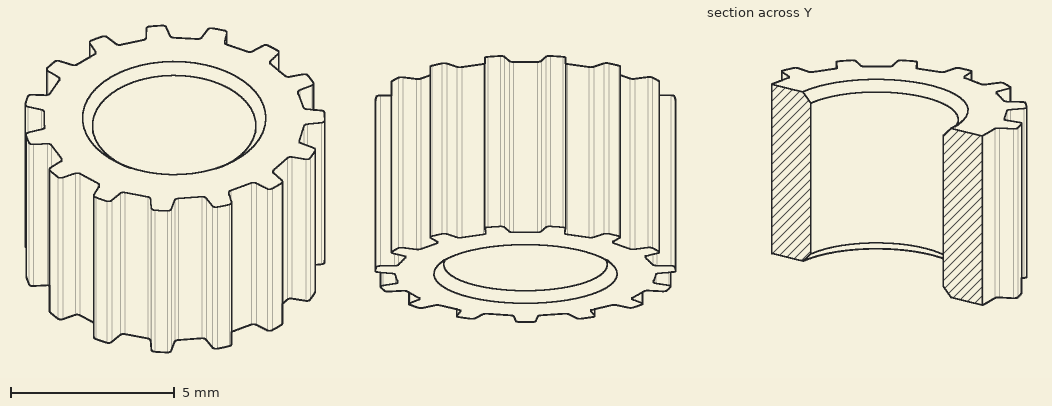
import cadquery as cq
import math

tooth_count = 15
tip_radius = 4.6
height = 5.5

root_distance = 3.97
floor_width = 0.91
flank_angle = 20
root_fillet = 0.13
tip_fillet = 0.12
cut_overrun = 0.46

bore_radius = 2.5
bore_chamfer = 0.3
radius_tolerance = 0.001

pitch_angle = 360 / tooth_count
first_groove_angle = 90


def groove_cutter():
    """Trapezoidal groove along +X, rounded at the floor, open beyond the tooth tips."""
    open_distance = tip_radius + cut_overrun
    floor_half = floor_width / 2
    open_half = floor_half + (open_distance - root_distance) * math.tan(math.radians(flank_angle))
    return (
        cq.Workplane("XY")
        .moveTo(root_distance, -floor_half)
        .lineTo(open_distance, -open_half)
        .lineTo(open_distance, open_half)
        .lineTo(root_distance, floor_half)
        .close()
        .extrude(height)
        .edges("|Z and <X")
        .fillet(root_fillet)
    )


def toothed_body():
    body = cq.Workplane("XY").circle(tip_radius).extrude(height)
    cutter = groove_cutter()
    for index in range(tooth_count):
        angle = first_groove_angle + index * pitch_angle
        body = body.cut(cutter.rotate((0, 0, 0), (0, 0, 1), angle))
    return body


def round_tooth_tips(body):
    inner_limit = tip_radius - tip_fillet
    tip_corners = [
        edge
        for edge in body.edges("|Z").vals()
        if math.hypot(edge.Center().x, edge.Center().y) > inner_limit
    ]
    return body.newObject(tip_corners).fillet(tip_fillet)


def cut_bore(body):
    """Through bore with the same chamfer at both ends."""
    bored = body.cut(cq.Workplane("XY").circle(bore_radius).extrude(height))
    bore_rims = [
        edge
        for edge in bored.edges("%CIRCLE").vals()
        if abs(edge.radius() - bore_radius) < radius_tolerance
    ]
    return bored.newObject(bore_rims).chamfer(bore_chamfer)


result = toothed_body()
result = round_tooth_tips(result)
result = cut_bore(result)